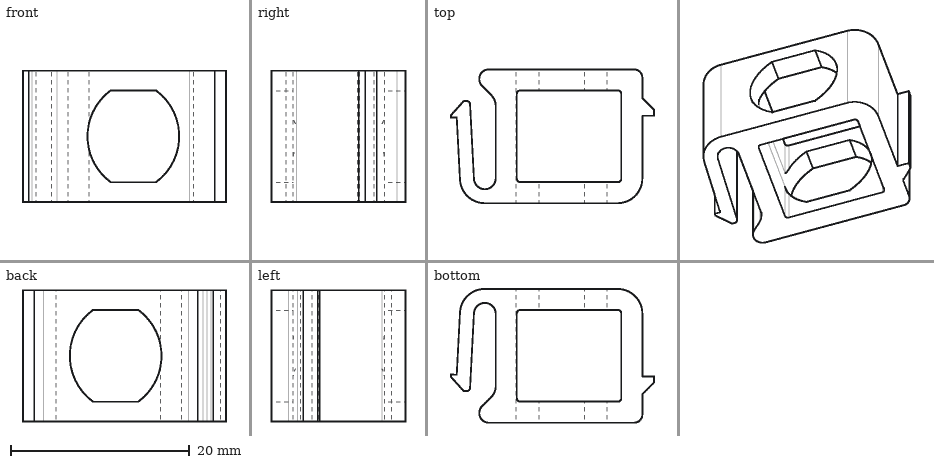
import cadquery as cq
import math

overall_width = 22.77
height = 14.7
depth = 15.0
wall = 2.4

pocket_width = 11.65
pocket_corner_radius = 0.35

slot_radius = 1.2
arm_thickness = 1.6
arm_tilt = math.radians(3)
arm_length = 8.77
arm_tip_radius = 0.4

barb_reach = 0.64
barb_nose = 0.27
barb_height = 1.8

catch_nose = 0.68
catch_bottom = 9.8

lip_radius = 1.1
lip_overhang = 1.85
bend_radius = 1.78
back_corner_radius = 0.95

window_size = 10.25
window_flat = 5.08
window_x = 8.56

root_radius = slot_radius + arm_thickness
root_y = root_radius
body_left = slot_radius
body_right = body_left + 2 * wall + pocket_width
pocket_depth = depth - 2 * wall
diagonal = math.sqrt(0.5)


def arc_point(center, radius, degrees):
    """Point on a circle, with the angle measured from +X."""
    angle = math.radians(degrees)
    return (center[0] + radius * math.cos(angle), center[1] + radius * math.sin(angle))


def arm_point(outward, along):
    """Point in the tilted frame of the arm, whose origin is the slot bottom centre."""
    return (
        -outward * math.cos(arm_tilt) - along * math.sin(arm_tilt),
        root_y - outward * math.sin(arm_tilt) + along * math.cos(arm_tilt),
    )


def make_body():
    """Block with its lip, catch and spring arm, as one closed outline."""
    root = (0, root_y)
    tilt_degrees = math.degrees(arm_tilt)
    front_right = (body_right - root_radius, root_radius)
    back_right = (body_right - back_corner_radius, depth - back_corner_radius)

    lip = (body_left - lip_overhang + lip_radius, depth - lip_radius)
    slope_start = arc_point(lip, lip_radius, 225)
    bend_x = body_left - bend_radius
    slope_end_x = bend_x + bend_radius * diagonal
    slope_end_y = slope_start[1] - (slope_end_x - slope_start[0])
    bend = (bend_x, slope_end_y - bend_radius * diagonal)

    barb_tip = root_radius + barb_reach
    barb_bottom = arm_length - barb_height
    barb_nose_top = barb_bottom + barb_nose
    barb_top_outward = barb_tip - (arm_length - barb_nose_top)
    barb_corner = arm_point(barb_tip, barb_nose_top)
    tip_center = arm_point(slot_radius + arm_tip_radius, arm_length - arm_tip_radius)

    catch_x = barb_corner[0] + overall_width
    catch_top = catch_bottom + catch_nose + catch_x - body_right

    outline = (
        cq.Workplane("XY", origin=(0, 0, -height / 2))
        .moveTo(0, 0)
        .lineTo(front_right[0], 0)
        .threePointArc(arc_point(front_right, root_radius, -45), (body_right, root_radius))
        .lineTo(body_right, catch_bottom)
        .lineTo(catch_x, catch_bottom)
        .lineTo(catch_x, catch_bottom + catch_nose)
        .lineTo(body_right, catch_top)
        .lineTo(body_right, back_right[1])
        .threePointArc(arc_point(back_right, back_corner_radius, 45), (back_right[0], depth))
        .lineTo(lip[0], depth)
        .threePointArc(arc_point(lip, lip_radius, 157.5), slope_start)
        .lineTo(slope_end_x, slope_end_y)
        .threePointArc(arc_point(bend, bend_radius, 22.5), (body_left, bend[1]))
        .lineTo(body_left, root_y)
        .threePointArc((0, root_y - slot_radius), arm_point(slot_radius, 0))
        .lineTo(*arm_point(slot_radius, arm_length - arm_tip_radius))
        .threePointArc(
            arc_point(tip_center, arm_tip_radius, 45 + tilt_degrees),
            arm_point(slot_radius + arm_tip_radius, arm_length),
        )
        .lineTo(*arm_point(barb_top_outward, arm_length))
        .lineTo(*barb_corner)
        .lineTo(*arm_point(barb_tip, barb_bottom))
        .lineTo(*arm_point(root_radius, barb_bottom))
        .lineTo(*arm_point(root_radius, 0))
        .threePointArc(arc_point(root, root_radius, 225), (0, 0))
        .close()
    )
    return outline.extrude(height)


def make_pocket():
    """Rectangular opening through the full height, leaving equal walls."""
    return (
        cq.Workplane("XY")
        .center(body_left + wall + pocket_width / 2, depth / 2)
        .rect(pocket_width, pocket_depth)
        .extrude(height / 2, both=True)
        .edges("|Z")
        .fillet(pocket_corner_radius)
    )


def make_window():
    """Opening through the front and back walls."""
    half_size = window_size / 2
    half_flat = window_flat / 2
    return (
        cq.Workplane("XZ")
        .center(window_x, 0)
        .moveTo(-half_flat, -half_size)
        .lineTo(half_flat, -half_size)
        .threePointArc((half_size, 0), (half_flat, half_size))
        .lineTo(-half_flat, half_size)
        .threePointArc((-half_size, 0), (-half_flat, -half_size))
        .close()
        .extrude(-depth)
    )


result = make_body().cut(make_pocket()).cut(make_window())